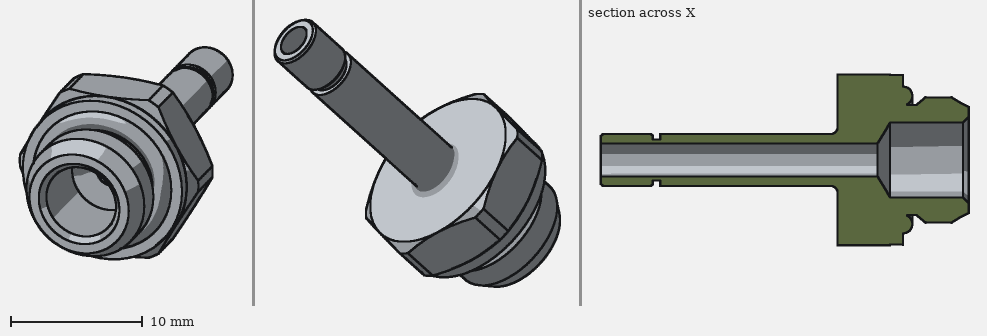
import cadquery as cq
import math

total_length = 28.0

thread_radius = 4.8
thread_tip_radius = 4.03
thread_tip_length = 1.35
thread_end = 3.3
relief_radius = 4.2
relief_start = 4.0

flange_radius = 6.47
flange_start = 5.0
ring_section_radius = 0.73
ring_outer_radius = 5.6
ring_center_radius = ring_outer_radius - ring_section_radius

hex_across_flats = 13.0
hex_corner_radius = 7.25
hex_start = 6.0
hex_end = 10.0
hex_chamfer_length = 0.45

stem_radius = 2.0
stem_root_fillet = 0.53
stem_tip_chamfer = 0.17
groove_radius = 1.57
groove_start = 23.45
groove_end = 24.02
groove_edge_chamfer = 0.15

through_radius = 1.23
bore_radius = 2.83
bore_mouth_radius = 3.28
bore_depth = 6.0
drill_point_angle = 118.0


def turned(profile):
    """Revolve a closed (radius, Y) profile about the Y axis."""
    return profile.close().revolve(360, (0, 0, 0), (0, 1, 0))


def make_threaded_end():
    return turned(
        cq.Workplane("XY")
        .moveTo(0, 0)
        .lineTo(thread_tip_radius, 0)
        .lineTo(thread_radius, thread_tip_length)
        .lineTo(thread_radius, thread_end)
        .lineTo(relief_radius, relief_start)
        .lineTo(relief_radius, flange_start)
        .lineTo(flange_radius, flange_start)
        .lineTo(flange_radius, hex_start)
        .lineTo(0, hex_start)
    )


def make_sealing_ring():
    return turned(
        cq.Workplane("XY")
        .moveTo(ring_center_radius - ring_section_radius, flange_start)
        .threePointArc(
            (ring_center_radius, flange_start - ring_section_radius),
            (ring_outer_radius, flange_start),
        )
    )


def make_hexagon():
    corner_diameter = hex_across_flats / math.cos(math.pi / 6)
    prism = (
        cq.Workplane("XZ", origin=(0, hex_start, 0))
        .polygon(6, corner_diameter)
        .extrude(hex_start - hex_end)
    )
    face_radius = hex_across_flats / 2
    envelope = turned(
        cq.Workplane("XY")
        .moveTo(0, hex_start)
        .lineTo(face_radius, hex_start)
        .lineTo(hex_corner_radius, hex_start + hex_chamfer_length)
        .lineTo(hex_corner_radius, hex_end - hex_chamfer_length)
        .lineTo(face_radius, hex_end)
        .lineTo(0, hex_end)
    )
    return prism.intersect(envelope)


def make_stem():
    root_end = hex_end + stem_root_fillet
    arc_offset = stem_root_fillet * (1 - math.sqrt(0.5))
    return turned(
        cq.Workplane("XY")
        .moveTo(0, hex_end)
        .lineTo(stem_radius + stem_root_fillet, hex_end)
        .threePointArc((stem_radius + arc_offset, hex_end + arc_offset), (stem_radius, root_end))
        .lineTo(stem_radius, groove_start)
        .lineTo(groove_radius, groove_start)
        .lineTo(groove_radius, groove_end)
        .lineTo(stem_radius - groove_edge_chamfer, groove_end)
        .lineTo(stem_radius, groove_end + groove_edge_chamfer)
        .lineTo(stem_radius, total_length - stem_tip_chamfer)
        .lineTo(stem_radius - stem_tip_chamfer, total_length)
        .lineTo(0, total_length)
    )


def make_bore():
    mouth_depth = bore_mouth_radius - bore_radius
    point_length = (bore_radius - through_radius) / math.tan(math.radians(drill_point_angle / 2))
    return turned(
        cq.Workplane("XY")
        .moveTo(0, 0)
        .lineTo(bore_mouth_radius, 0)
        .lineTo(bore_radius, mouth_depth)
        .lineTo(bore_radius, bore_depth)
        .lineTo(through_radius, bore_depth + point_length)
        .lineTo(through_radius, total_length)
        .lineTo(0, total_length)
    )


body = make_threaded_end().union(make_sealing_ring()).union(make_hexagon()).union(make_stem())
result = body.cut(make_bore())